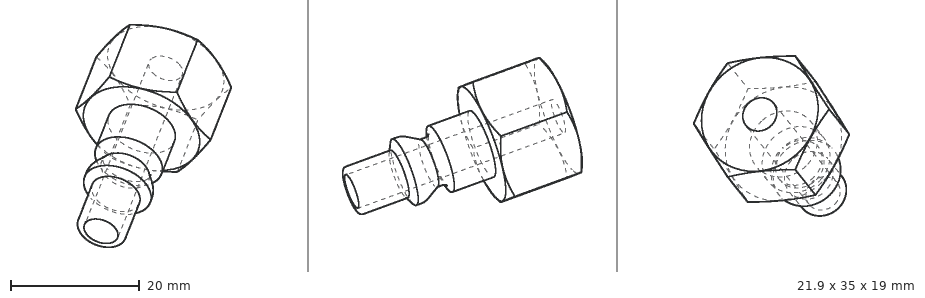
import cadquery as cq
import math

total_length = 35.0
across_flats = 19.0
hex_length = 13.0
hex_chamfer_angle = 30.0
hex_face_radius = 9.45

collar_radius = 5.5
stem_radius = 3.95
bore_radius = 2.75
tip_round = 0.5

bead_front_start = 8.0
bead_land_start = 8.9
bead_land_end = 9.7
bead_round = 2.5
bead_cone_angle = 30.0
collar_start = 15.0
neck_fillet = 1.0

hex_start = total_length - hex_length
hex_corner_radius = across_flats / math.sqrt(3)


def arc_point(center, radius, angle):
    """Point (radius, Y) on a circle, angle in degrees from the radial direction."""
    a = math.radians(angle)
    return (center[0] + radius * math.cos(a), center[1] + radius * math.sin(a))


def make_stem():
    """Tip, locking bead, neck and collar as one revolved profile."""
    bead_center = (collar_radius - bead_round, bead_land_end)
    bead_mid = arc_point(bead_center, bead_round, bead_cone_angle / 2)
    bead_end = arc_point(bead_center, bead_round, bead_cone_angle)
    cone_length = (bead_end[0] - stem_radius) / math.tan(math.radians(bead_cone_angle))
    neck_start = bead_end[1] + cone_length
    tip_center = (stem_radius - tip_round, tip_round)
    neck_center = (stem_radius + neck_fillet, collar_start - neck_fillet)
    profile = (
        cq.Workplane("XY")
        .lineTo(stem_radius - tip_round, 0)
        .threePointArc(arc_point(tip_center, tip_round, -45), (stem_radius, tip_round))
        .lineTo(stem_radius, bead_front_start)
        .lineTo(collar_radius, bead_land_start)
        .lineTo(collar_radius, bead_land_end)
        .threePointArc(bead_mid, bead_end)
        .lineTo(stem_radius, neck_start)
        .lineTo(stem_radius, collar_start - neck_fillet)
        .threePointArc(
            arc_point(neck_center, neck_fillet, 135),
            (stem_radius + neck_fillet, collar_start),
        )
        .lineTo(collar_radius, collar_start)
        .lineTo(collar_radius, total_length)
        .lineTo(0, total_length)
        .close()
    )
    return profile.revolve(360, (0, 0, 0), (0, 1, 0))


def make_hex():
    """Hexagon with corners on X, its corners chamfered conically at both ends."""
    prism = (
        cq.Workplane("XZ", origin=(0, total_length, 0))
        .polygon(6, 2 * hex_corner_radius)
        .extrude(hex_length)
    )
    rim_width = hex_corner_radius - hex_face_radius
    chamfer_depth = rim_width * math.tan(math.radians(hex_chamfer_angle))
    envelope = (
        cq.Workplane("XY")
        .moveTo(0, hex_start)
        .lineTo(hex_face_radius, hex_start)
        .lineTo(hex_corner_radius, hex_start + chamfer_depth)
        .lineTo(hex_corner_radius, total_length - chamfer_depth)
        .lineTo(hex_face_radius, total_length)
        .lineTo(0, total_length)
        .close()
        .revolve(360, (0, 0, 0), (0, 1, 0))
    )
    return prism.intersect(envelope)


bore = cq.Workplane("XZ").circle(bore_radius).extrude(-total_length)

result = make_stem().union(make_hex()).cut(bore)